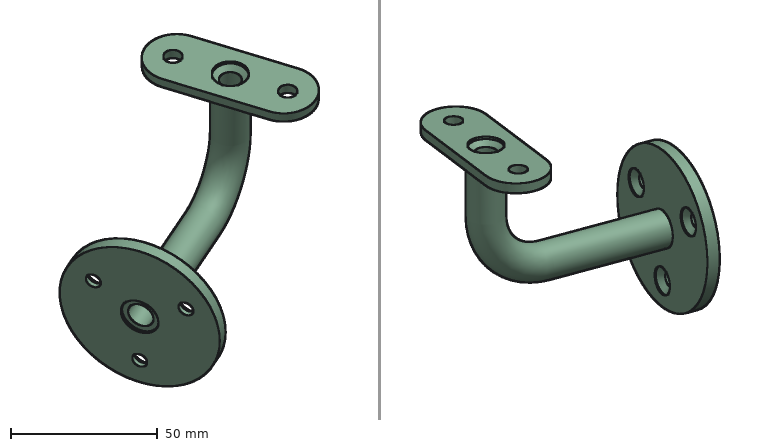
import cadquery as cq
import math

flange_diameter = 60.0
flange_thickness = 5.0
flange_hole_diameter = 5.5
flange_hole_circle_radius = 20.0
flange_hole_straight_depth = 2.2
flange_countersink_rim_depth = 0.4
flange_hole_count = 3
first_hole_angle = -90.0

tube_diameter = 14.0
tube_bore_diameter = 9.5
bend_radius = 23.0
tube_end_recess = 1.0

saddle_length = 64.0
saddle_width = 24.0
saddle_thickness = 3.8
saddle_hole_diameter = 6.5
saddle_hole_offset = 21.5
countersink_diameter = 12.6
center_hole_diameter = 7.8
countersink_rim_depth = 1.0
tube_socket_depth = 1.05

overall_depth = 87.0
saddle_top_height = 50.0
upright_y = overall_depth - saddle_width / 2
saddle_bottom_height = saddle_top_height - saddle_thickness


def make_flange_hole_cutter():
    """Screw hole along +Y, straight at the outer face, then a cone and a rim at the tube side."""
    radius = flange_hole_diameter / 2
    rim_bottom = flange_thickness - flange_countersink_rim_depth
    rim_radius = radius + rim_bottom - flange_hole_straight_depth
    return (
        cq.Workplane("XY")
        .moveTo(0, 0)
        .lineTo(radius, 0)
        .lineTo(radius, flange_hole_straight_depth)
        .lineTo(rim_radius, rim_bottom)
        .lineTo(rim_radius, flange_thickness)
        .lineTo(0, flange_thickness)
        .close()
        .revolve(360, (0, 0), (0, 1))
    )


def make_flange():
    """Disc with a tube socket and a ring of countersunk screw holes, extruded along +Y."""
    disc = cq.Workplane("XZ").circle(flange_diameter / 2).extrude(-flange_thickness)
    socket = cq.Workplane("XZ").circle(tube_diameter / 2).extrude(-flange_thickness)
    for index in range(flange_hole_count):
        angle = math.radians(first_hole_angle + index * 360 / flange_hole_count)
        x = flange_hole_circle_radius * math.cos(angle)
        z = flange_hole_circle_radius * math.sin(angle)
        disc = disc.cut(make_flange_hole_cutter().translate((x, 0, z)))
    return disc.cut(socket)


def make_tube():
    """Hollow round section swept along a straight leg, a quarter bend and an upright leg."""
    bend_start_y = upright_y - bend_radius
    path = (
        cq.Workplane("YZ")
        .moveTo(tube_end_recess, 0)
        .lineTo(bend_start_y, 0)
        .tangentArcPoint((upright_y, bend_radius), relative=False)
        .lineTo(upright_y, saddle_bottom_height + tube_socket_depth)
    )
    return (
        cq.Workplane("XZ", origin=(0, tube_end_recess, 0))
        .circle(tube_diameter / 2)
        .circle(tube_bore_diameter / 2)
        .sweep(path)
    )


def make_center_hole_cutter():
    """Tube socket below a cone that widens to a short cylindrical rim at the saddle's top face."""
    socket_radius = tube_diameter / 2
    hole_radius = center_hole_diameter / 2
    rim_radius = countersink_diameter / 2
    rim_bottom = saddle_thickness - countersink_rim_depth
    return (
        cq.Workplane("XZ")
        .moveTo(0, 0)
        .lineTo(socket_radius, 0)
        .lineTo(socket_radius, tube_socket_depth)
        .lineTo(hole_radius, tube_socket_depth)
        .lineTo(rim_radius, rim_bottom)
        .lineTo(rim_radius, saddle_thickness)
        .lineTo(0, saddle_thickness)
        .close()
        .revolve(360, (0, 0), (0, 1))
    )


def make_saddle():
    """Plate with round ends, two screw holes and a countersunk hole above the tube socket."""
    plate = cq.Workplane("XY").slot2D(saddle_length, saddle_width).extrude(saddle_thickness)
    screw_holes = (
        cq.Workplane("XY")
        .pushPoints([(-saddle_hole_offset, 0), (saddle_hole_offset, 0)])
        .circle(saddle_hole_diameter / 2)
        .extrude(saddle_thickness)
    )
    saddle = plate.cut(screw_holes).cut(make_center_hole_cutter())
    return saddle.translate((0, upright_y, saddle_bottom_height))


flange = make_flange()
tube = make_tube()
saddle = make_saddle()

result = cq.Compound.makeCompound([flange.val(), tube.val(), saddle.val()])